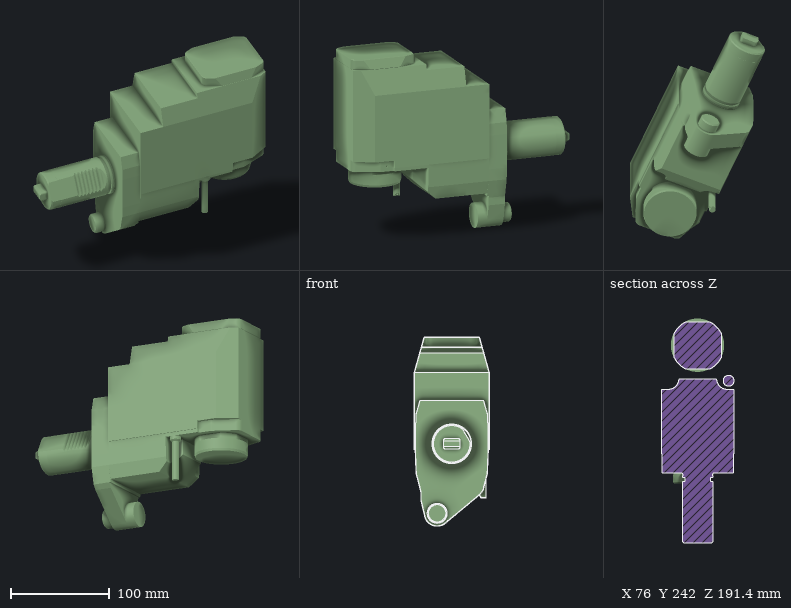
import cadquery as cq
import math


overall_length = 242.0

rear_y = 163.4
housing_front_y = 19.5
body_half = 38.0
side_top_z = 72.0
side_bottom_z = -5.8
taper = 0.28
step_1_z = 92.0
step_1_y = 44.5
roof_z = 97.5
roof_y = 85.2
rear_half = 26.5
rear_chamfer_y = 143.5

cap_top_z = 108.2
cap_front_y = 95.3
cap_end_half = 23.5
cap_side_half = 31.2
cap_side_length = 30.0
cap_corner_radius = 6.0
cap_edge_chamfer = 0.5

plate_top_z = 2.2
plate_bottom_z = -9.5
plate_front_y = 122.0
plate_side_y = 136.0
plate_half = 34.4
plate_end_half = 23.5
plate_corner_radius = 6.0
plate_side_radius = 4.8
plate_root_radius = 1.5
plate_root_length = 2.5
plate_hole_diameter = 2.1
plate_hole_z = -4.0
plate_hole_depth = 2.5

block_rear_y = 85.2
block_top_half = 37.0
block_bottom_z = -43.8
ramp_rear_y = 95.5
ramp_rear_z = -25.0
ramp_front_y = 75.5
nose_half = 19.4
nose_radius = ramp_rear_y - block_rear_y

flange_half = 36.5
shoulder_half = 36.0
flange_end_half = 32.2
flange_corner_half = 31.7
flange_top_z = 43.5
shoulder_z = 30.0
straight_z = 17.7
flange_corner_z = -47.0
flange_arc_z = -55.5

lug_thickness = 17.7
bottom_z = -83.2
boss_diameter = 26.0
boss_length = 27.8
pin_diameter = 20.0
pin_length = 10.5
pin_chamfer = 1.2
pin_neck_diameter = 18.6
pin_neck_length = 1.2
pin_x = -14.8
pin_z = bottom_z + boss_diameter / 2
lug_left_x = -31.2
lug_left_top_z = -49.0
lug_left_bottom_z = -56.9
lug_right_x = 27.8
lug_right_z = -51.8

collar_diameter = 40.0
shank_diameter = 39.7
tip_diameter = 39.5
ring_groove_diameter = 38.7
ring_groove_start = 1.0
ring_groove_end = 2.2
groove_diameter = 36.0
groove_start = 4.4
groove_end = 8.0
tip_start = 60.3
shank_length = 70.7
shank_chamfer = 1.2

flat_distance = 17.0
flat_angle = 30
flat_start = 12.3
tooth_count = 7
tooth_row_length = 28.0
tooth_pitch = tooth_row_length / tooth_count
tooth_depth = 1.82
first_groove = 16.0

tang_width = 17.0
tang_height = 10.6
tang_length = overall_length - rear_y - shank_length
tang_fillet = 2.2
tang_chamfer = 2.5

spindle_y = (rear_y + cap_front_y) / 2
nut_diameter = 54.0
nut_bottom_z = -27.8
nut_chamfer_height = 2.5
nut_chamfer_width = 0.7
nut_across_flats = 48.2
nut_flats_bottom_z = -14.8

tube_diameter = 7.0
tube_x = 31.2
tube_y = 93.7
tube_bottom_z = -54.7
tube_collar_diameter = 11.4
tube_collar_length = 5.0
tube_collar_chamfer = 1.7
tube_bevel_width = 2.0
tube_bevel_height = 3.5
tube_hole_diameter = 2.1
tube_hole_depth = 4.8


def extrude_y(outline, y_min, y_max):
    """Extrude a closed XZ outline between two Y positions."""
    sketch = cq.Workplane("XZ", origin=(0, y_max, 0)).polyline(outline).close()
    return sketch.extrude(y_max - y_min)


def extrude_z(outline, z_min, z_max):
    """Extrude a closed XY outline between two Z positions."""
    return cq.Workplane("XY").workplane(offset=z_min).polyline(outline).close().extrude(z_max - z_min)


def extrude_x(outline):
    """Extrude a closed YZ outline across the full width."""
    return cq.Workplane("YZ").polyline(outline).close().extrude(body_half, both=True)


def cylinder_y(diameter, y_start, length, x=0, z=0):
    """Cylinder running from y_start toward -Y."""
    return cq.Workplane("XZ", origin=(x, y_start, z)).circle(diameter / 2).extrude(length)


def cylinder_z(diameter, z_min, z_max, x, y):
    return cq.Workplane("XY", origin=(x, y, z_min)).circle(diameter / 2).extrude(z_max - z_min)


def mirrored(right_half):
    """Close a half outline, given from one end to the other, across X = 0."""
    return right_half + [(-x, other) for x, other in reversed(right_half)]


def tapered_sides():
    """Long prism with the leaning upper sides, shared by the housing and the cap."""
    top_half = body_half - taper * (cap_top_z - side_top_z)
    section = mirrored([
        (body_half, plate_bottom_z),
        (body_half, side_top_z),
        (top_half, cap_top_z),
    ])
    return extrude_y(section, 0, rear_y)


def make_housing():
    profile = extrude_x([
        (housing_front_y, side_bottom_z),
        (housing_front_y, side_top_z),
        (step_1_y, side_top_z),
        (step_1_y, step_1_z),
        (roof_y, step_1_z),
        (roof_y, roof_z),
        (rear_y, roof_z),
        (rear_y, plate_top_z),
        (plate_front_y, plate_top_z),
        (plate_front_y, side_bottom_z),
    ])
    plan = extrude_z(mirrored([
        (body_half, housing_front_y),
        (body_half, rear_chamfer_y),
        (rear_half, rear_y),
    ]), side_bottom_z, roof_z)
    return profile.intersect(plan).intersect(tapered_sides())


def make_cap():
    side_front_y = spindle_y - cap_side_length / 2
    side_rear_y = spindle_y + cap_side_length / 2
    plan = extrude_z(mirrored([
        (cap_end_half, cap_front_y),
        (cap_side_half, side_front_y),
        (cap_side_half, side_rear_y),
        (cap_end_half, rear_y),
    ]), roof_z, cap_top_z)
    plan = plan.edges("|Z and (<Y or >Y)").fillet(cap_corner_radius)
    cap = plan.intersect(tapered_sides())
    return cap.faces("<Z or >Z").chamfer(cap_edge_chamfer)


def make_plate():
    """Plate set in from the housing sides, with a rounded root where it meets the housing."""
    plate = extrude_z(mirrored([
        (shoulder_half, plate_front_y - plate_root_length),
        (shoulder_half, plate_front_y),
        (plate_half, plate_front_y),
        (plate_half, plate_side_y),
        (plate_end_half, rear_y),
    ]), plate_bottom_z, plate_top_z)
    plate = plate.edges("|Z and >Y").fillet(plate_corner_radius)
    for x in (-plate_half, plate_half):
        side_corner = cq.selectors.NearestToPointSelector((x, plate_side_y, 0))
        root_corner = cq.selectors.NearestToPointSelector((x, plate_front_y, 0))
        plate = plate.edges("|Z").edges(side_corner).fillet(plate_side_radius)
        plate = plate.edges("|Z").edges(root_corner).fillet(plate_root_radius)
    hole = (
        cq.Workplane("YZ", origin=(-plate_half, spindle_y, plate_hole_z))
        .circle(plate_hole_diameter / 2)
        .extrude(plate_hole_depth)
    )
    return plate.cut(hole)


def make_lower_block():
    """Block under the housing with a narrower rear nose and a ramp below it."""
    section = mirrored([
        (block_top_half, side_bottom_z),
        (shoulder_half, -shoulder_z),
        (flange_end_half, block_bottom_z),
    ])
    solid = extrude_y(section, housing_front_y, plate_front_y)
    ledge = solid.intersect(cq.Workplane("XY").box(2 * body_half, 2 * rear_y, -2 * plate_bottom_z))
    plan = (
        cq.Workplane("XY").workplane(offset=block_bottom_z)
        .moveTo(body_half, 0)
        .lineTo(body_half, block_rear_y)
        .lineTo(nose_half + nose_radius, block_rear_y)
        .radiusArc((nose_half, ramp_rear_y), nose_radius)
        .lineTo(-nose_half, ramp_rear_y)
        .radiusArc((-nose_half - nose_radius, block_rear_y), nose_radius)
        .lineTo(-body_half, block_rear_y)
        .lineTo(-body_half, 0)
        .close()
        .extrude(-block_bottom_z)
    )
    ramp = extrude_x([
        (ramp_rear_y, ramp_rear_z),
        (ramp_front_y, block_bottom_z),
        (ramp_rear_y, block_bottom_z),
    ])
    return solid.intersect(plan).cut(ramp).union(ledge)


def make_flange():
    flange = (
        cq.Workplane("XZ", origin=(0, housing_front_y, 0))
        .moveTo(flange_corner_half, flange_corner_z)
        .lineTo(shoulder_half, -shoulder_z)
        .lineTo(flange_half, -straight_z)
        .lineTo(flange_half, straight_z)
        .lineTo(shoulder_half, shoulder_z)
        .lineTo(flange_end_half, flange_top_z)
        .lineTo(-flange_end_half, flange_top_z)
        .lineTo(-shoulder_half, shoulder_z)
        .lineTo(-flange_half, straight_z)
        .lineTo(-flange_half, -straight_z)
        .lineTo(-shoulder_half, -shoulder_z)
        .lineTo(-flange_corner_half, flange_corner_z)
        .threePointArc((0, flange_arc_z), (flange_corner_half, flange_corner_z))
        .close()
        .extrude(housing_front_y)
    )
    rear_cut = extrude_x([
        (lug_thickness, flange_corner_z),
        (housing_front_y, flange_corner_z),
        (housing_front_y, bottom_z),
        (lug_thickness, bottom_z),
    ])
    return flange.cut(rear_cut)


def boss_tangent_point(x, z, side):
    """Point where a line from (x, z) touches the boss; side is +1 or -1."""
    radius = boss_diameter / 2
    distance = math.hypot(x - pin_x, z - pin_z)
    toward = math.atan2(z - pin_z, x - pin_x)
    angle = toward + side * math.acos(radius / distance)
    return (pin_x + radius * math.cos(angle), pin_z + radius * math.sin(angle))


def make_lug():
    plate = extrude_y([
        (-flange_corner_half, flange_corner_z),
        (lug_left_x, lug_left_top_z),
        (lug_left_x, lug_left_bottom_z),
        boss_tangent_point(lug_left_x, lug_left_bottom_z, 1),
        (pin_x, pin_z),
        boss_tangent_point(lug_right_x, lug_right_z, -1),
        (lug_right_x, lug_right_z),
        (flange_corner_half, flange_corner_z),
    ], 0, lug_thickness)
    boss = cylinder_y(boss_diameter, boss_length, boss_length, pin_x, pin_z)
    neck = cylinder_y(pin_neck_diameter, 0, pin_neck_length, pin_x, pin_z)
    pin = cylinder_y(pin_diameter, -pin_neck_length, pin_length - pin_neck_length, pin_x, pin_z)
    pin = pin.faces("<Y").chamfer(pin_chamfer)
    return plate.union(boss).union(neck).union(pin)


def make_flat_cutter():
    """Stock above the toothed flat; local X is its normal and local Y runs along Y."""
    reach = shank_diameter
    half_pitch = tooth_pitch / 2
    points = [
        (reach, -flat_start + reach - flat_distance),
        (flat_distance, -flat_start),
    ]
    for index in range(tooth_count):
        groove_y = -first_groove - index * tooth_pitch
        points += [
            (flat_distance, groove_y + half_pitch),
            (flat_distance - tooth_depth, groove_y),
        ]
    points += [
        (flat_distance, groove_y - half_pitch),
        (flat_distance, -shank_length),
        (reach, -shank_length),
    ]
    cutter = cq.Workplane("XY").polyline(points).close().extrude(reach, both=True)
    return cutter.rotate((0, 0, 0), (0, 1, 0), -flat_angle)


def make_shank():
    sections = [
        (collar_diameter, 0, ring_groove_start),
        (ring_groove_diameter, ring_groove_start, ring_groove_end),
        (collar_diameter, ring_groove_end, groove_start),
        (groove_diameter, groove_start, groove_end),
        (shank_diameter, groove_end, tip_start),
    ]
    tip = cylinder_y(tip_diameter, -tip_start, shank_length - tip_start)
    shank = tip.faces("<Y").chamfer(shank_chamfer)
    for diameter, start, end in sections:
        shank = shank.union(cylinder_y(diameter, -start, end - start))
    return shank.cut(make_flat_cutter())


def make_tang():
    tang = (
        cq.Workplane("XZ", origin=(0, -shank_length, 0))
        .rect(tang_width, tang_height)
        .extrude(tang_length)
    )
    return tang.edges("<Y and |X").chamfer(tang_chamfer).edges("|Y").fillet(tang_fillet)


def make_spindle():
    """Spindle nut with four wrench flats above and a slightly conical lower rim."""
    nut = cylinder_z(nut_diameter, nut_bottom_z, nut_flats_bottom_z, 0, spindle_y)
    round_top = cylinder_z(nut_diameter, nut_flats_bottom_z, plate_bottom_z, 0, spindle_y)
    square = (
        cq.Workplane("XY", origin=(0, spindle_y, nut_flats_bottom_z))
        .rect(nut_across_flats, nut_across_flats)
        .extrude(plate_bottom_z - nut_flats_bottom_z)
    )
    rim = (
        cq.Workplane("XZ", origin=(0, spindle_y, 0))
        .moveTo(nut_diameter / 2, nut_bottom_z)
        .lineTo(nut_diameter / 2, nut_bottom_z + nut_chamfer_height)
        .lineTo(nut_diameter / 2 - nut_chamfer_width, nut_bottom_z)
        .close()
        .revolve(360, (0, 0, 0), (0, 1, 0))
    )
    return round_top.intersect(square).union(nut.cut(rim))


def make_coolant_tube():
    tube = cylinder_z(tube_diameter, tube_bottom_z, plate_bottom_z, tube_x, tube_y)
    left_x = tube_x - tube_diameter / 2
    bevel = extrude_y([
        (left_x, tube_bottom_z),
        (left_x + tube_bevel_width, tube_bottom_z),
        (left_x, tube_bottom_z + tube_bevel_height),
    ], tube_y - tube_diameter, tube_y + tube_diameter)
    collar = cylinder_z(
        tube_collar_diameter, plate_bottom_z - tube_collar_length, plate_bottom_z, tube_x, tube_y
    )
    bevel_angle = math.degrees(math.atan2(tube_bevel_width, tube_bevel_height))
    hole = (
        cylinder_z(tube_hole_diameter, -tube_hole_depth, tube_hole_depth, 0, 0)
        .rotate((0, 0, 0), (0, 1, 0), 90 - bevel_angle)
        .translate((left_x + tube_bevel_width / 2, tube_y, tube_bottom_z + tube_bevel_height / 2))
    )
    return tube.cut(bevel).cut(hole).union(collar.faces("<Z").chamfer(tube_collar_chamfer))


result = make_housing()
for feature in (
    make_cap(),
    make_plate(),
    make_lower_block(),
    make_flange(),
    make_lug(),
    make_shank(),
    make_tang(),
    make_spindle(),
    make_coolant_tube(),
):
    result = result.union(feature)